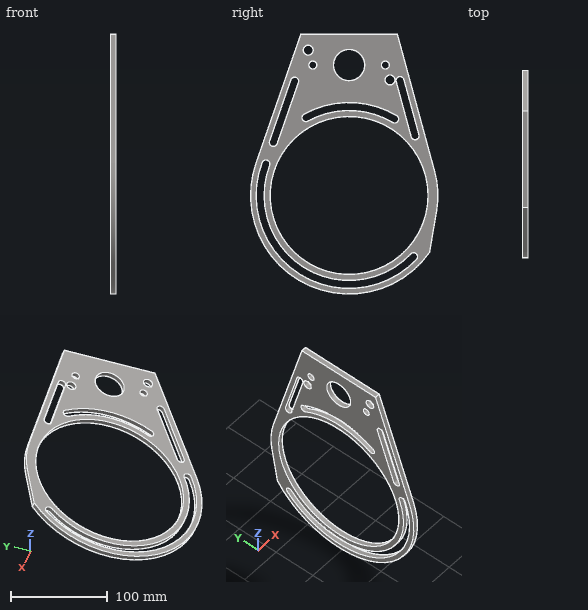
import cadquery as cq
import math


thickness = 6.0
top_height = 166.85
top_width = 100.0
bore_diameter = 163.0
wide_rim_radius = 102.0
narrow_rim_radius = 92.0
corner_angle = 215.2

slot_width = 8.0
slot_inset = 10.0
arc_slot_radius = wide_rim_radius - slot_inset
upper_arc_slot_angles = (61.0, 120.8)
lower_arc_slot_angles = (-136.5, 20.75)
wide_side_slot_span = (26.1, 93.2)
narrow_side_slot_span = (41.7, 100.9)

opening_drop = 32.0
opening_height = top_height - opening_drop
opening_diameter = 32.0
small_hole_diameter = 8.0
small_hole_spacing = 75.0
large_hole_diameter = 10.0
large_hole_spacing = 90.0
large_hole_tilt = 20.0


def polar(radius, angle):
    """Point at a radius and an angle in degrees, as (Y, Z)."""
    turn = math.radians(angle)
    return (-radius * math.cos(turn), radius * math.sin(turn))


def tangent_offset(radius, distance):
    """Angle between a point at the given distance and its tangent point on a circle."""
    return math.degrees(math.acos(radius / distance))


half_top = top_width / 2
top_corner_distance = math.hypot(half_top, top_height)
top_corner_angle = math.degrees(math.atan2(top_height, half_top))
wide_tangent_angle = top_corner_angle - tangent_offset(wide_rim_radius, top_corner_distance)
narrow_tangent_angle = (
    180 - top_corner_angle + tangent_offset(narrow_rim_radius, top_corner_distance)
)
lower_tangent_angle = corner_angle - tangent_offset(narrow_rim_radius, wide_rim_radius)


def through(sketch):
    """Extrude a closed sketch through the plate thickness."""
    return sketch.extrude(thickness)


def plate():
    narrow_mid_angle = (narrow_tangent_angle + lower_tangent_angle) / 2
    wide_mid_angle = (corner_angle + wide_tangent_angle + 360) / 2
    outline = (
        cq.Workplane("YZ")
        .moveTo(-half_top, top_height)
        .lineTo(half_top, top_height)
        .lineTo(*polar(narrow_rim_radius, narrow_tangent_angle))
        .threePointArc(
            polar(narrow_rim_radius, narrow_mid_angle),
            polar(narrow_rim_radius, lower_tangent_angle),
        )
        .lineTo(*polar(wide_rim_radius, corner_angle))
        .threePointArc(
            polar(wide_rim_radius, wide_mid_angle),
            polar(wide_rim_radius, wide_tangent_angle),
        )
        .close()
    )
    return through(outline)


def round_hole(center, diameter):
    return through(cq.Workplane("YZ").center(*center).circle(diameter / 2))


def arc_slot(angles):
    """Slot with round ends that follows the rim."""
    start, end = angles
    middle = (start + end) / 2
    inner_radius = arc_slot_radius - slot_width / 2
    outer_radius = arc_slot_radius + slot_width / 2
    band = (
        cq.Workplane("YZ")
        .moveTo(*polar(inner_radius, start))
        .threePointArc(polar(inner_radius, middle), polar(inner_radius, end))
        .lineTo(*polar(outer_radius, end))
        .threePointArc(polar(outer_radius, middle), polar(outer_radius, start))
        .close()
    )
    slot = through(band)
    for angle in angles:
        slot = slot.union(round_hole(polar(arc_slot_radius, angle), slot_width))
    return slot


def side_slot(rim_radius, tangent_angle, span, side):
    """Straight slot parallel to a side; side is -1 toward -Y and +1 toward +Y."""
    start, end = span
    foot_y, foot_z = polar(rim_radius - slot_inset, tangent_angle)
    along_y, along_z = polar(1, tangent_angle - side * 90)
    middle = (start + end) / 2
    tilt = math.degrees(math.atan2(along_z, along_y))
    sketch = (
        cq.Workplane("YZ")
        .center(foot_y + middle * along_y, foot_z + middle * along_z)
        .slot2D(end - start + slot_width, slot_width, tilt)
    )
    return through(sketch)


def opening_holes():
    """Upper opening with its pairs of small and large holes."""
    holes = round_hole((0, opening_height), opening_diameter)
    pairs = (
        (small_hole_diameter, small_hole_spacing, 0),
        (large_hole_diameter, large_hole_spacing, large_hole_tilt),
    )
    for diameter, spacing, tilt in pairs:
        for angle in (tilt, tilt + 180):
            y, z = polar(spacing / 2, angle)
            holes = holes.union(round_hole((y, opening_height + z), diameter))
    return holes


result = plate()
result = result.cut(round_hole((0, 0), bore_diameter))
result = result.cut(opening_holes())
result = result.cut(arc_slot(upper_arc_slot_angles))
result = result.cut(arc_slot(lower_arc_slot_angles))
result = result.cut(side_slot(wide_rim_radius, wide_tangent_angle, wide_side_slot_span, -1))
result = result.cut(side_slot(narrow_rim_radius, narrow_tangent_angle, narrow_side_slot_span, 1))